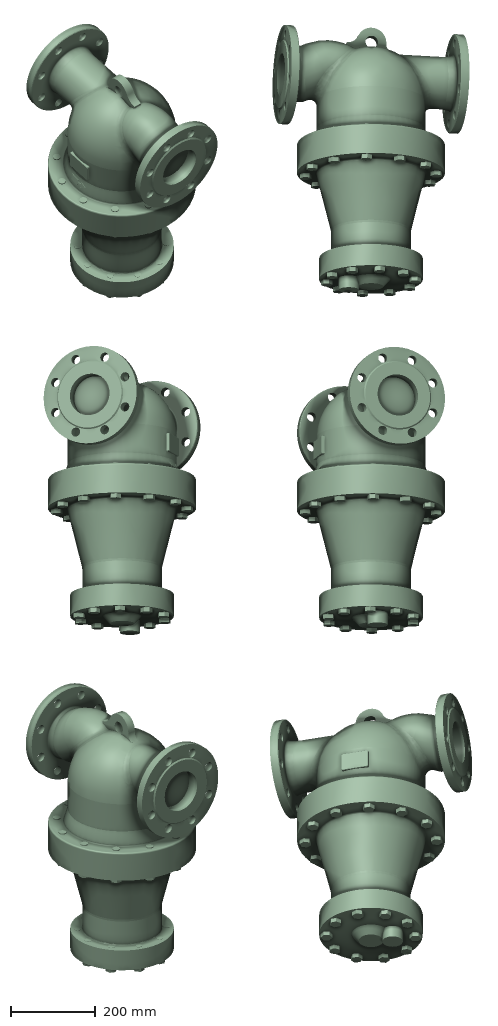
import cadquery as cq
import math

face_to_face = 434.0
line_flange_dia = 235.0
line_flange_thickness = 20.0
raised_face_height = 3.0
raised_face_dia = 160.0
line_bolt_hole_dia = 22.0
line_bolt_circle = 190.0
line_bolt_count = 8
bore_dia = 100.0
bore_depth = 30.0
pipe_radius = 62.0
neck_radius = 65.0
neck_length = 20.0
neck_fillet = 3.0
rim_chamfer = 1.5

body_radius = 128.5
dome_center_z = -53.0
body_bottom_z = -124.0
foot_radius = 138.0
foot_fillet = 4.0
inlet_blend = 20.0

elbow_radius = 63.0
elbow_bend_radius = 68.0
elbow_rise_angle = 45.0
elbow_fall_angle = 24.0
elbow_peak_x = 106.0
elbow_blend = 17.0

body_flange_dia = 350.0
body_flange_half = 36.0
body_joint_z = -195.0
body_rim_fillet = 4.0
body_bolt_circle = 310.0
body_bolt_count = 12
body_stud_dia = 18.0
body_stud_projection = 3.0
body_hex_turn = 15.0

cone_top_radius = 129.0
collar_height = 4.0
cone_bottom_z = -375.0
lower_neck_radius = 94.0
cone_blend = 22.0
cover_flange_dia = 245.0
cover_flange_half = 26.0
cover_joint_z = -466.0
cover_bolt_circle = 210.0
cover_bolt_count = 10
cover_stud_dia = 16.0
cover_stud_projection = 1.0
cover_neck_fillet = 3.0

hex_across_flats = 24.0
head_height = 10.0

boss_top_radius = 46.0
boss_bottom_radius = 29.0
boss_height = 17.5
port_dia = 48.0
port_x = 53.5

lug_radius = 35.0
lug_hole_dia = 30.0
lug_center_z = 89.0
lug_thickness = 20.0
lug_left_fillet = 20.0
lug_right_fillet = 30.0
lug_right_foot_z = 85.0

plate_width = 66.0
plate_height = 44.0
plate_center_z = -87.0
plate_face_y = -132.0
plate_edge = 2.0
arrow_length = 51.0
arrow_height = 14.0
arrow_center_z = -140.0
arrow_relief = 1.0

overall_height = 644.88

half_length = face_to_face / 2
flange_front_x = half_length - raised_face_height
flange_back_x = flange_front_x - line_flange_thickness
neck_start_x = flange_back_x - neck_length
body_flange_top_z = body_joint_z + body_flange_half
body_flange_bottom_z = body_joint_z - body_flange_half
cover_flange_top_z = cover_joint_z + cover_flange_half
cover_flange_bottom_z = cover_joint_z - cover_flange_half
port_bottom_z = lug_center_z + lug_radius - overall_height


def disc(radius, bottom_z, top_z):
    """Vertical cylinder on the body axis."""
    return cq.Workplane("XY").workplane(offset=bottom_z).circle(radius).extrude(top_z - bottom_z)


def make_upper_body(grow=0.0):
    """Dome, straight barrel and flared foot; grow thickens the wall outward."""
    barrel = body_radius + grow
    foot = foot_radius + grow
    half_section = (
        cq.Workplane("XZ")
        .moveTo(0, dome_center_z + barrel)
        .threePointArc(
            (barrel * math.sin(math.pi / 4), dome_center_z + barrel * math.cos(math.pi / 4)),
            (barrel, dome_center_z),
        )
        .lineTo(barrel, body_bottom_z)
        .lineTo(foot, body_flange_top_z + foot_fillet)
        .radiusArc((foot + foot_fillet, body_flange_top_z), -foot_fillet)
        .lineTo(0, body_flange_top_z)
        .close()
    )
    return half_section.revolve(360, (0, 0), (0, 1)).rotate((0, 0, 0), (0, 0, 1), 90)


def make_inlet_pipe():
    """Straight horizontal pipe from the body axis to the inlet neck."""
    return cq.Workplane("YZ").circle(pipe_radius).extrude(-neck_start_x)


def make_outlet_elbow():
    """Pipe that climbs from the dome centre, bends over and falls to a mitre at the outlet neck."""
    rise = math.radians(elbow_rise_angle)
    fall = math.radians(elbow_fall_angle)
    bend_start_x = elbow_peak_x - elbow_bend_radius * math.sin(rise)
    bend_start_z = dome_center_z + bend_start_x * math.tan(rise)
    bend_center_z = bend_start_z - elbow_bend_radius * math.cos(rise)
    bend_end_x = elbow_peak_x + elbow_bend_radius * math.sin(fall)
    bend_end_z = bend_center_z + elbow_bend_radius * math.cos(fall)
    mitre_x = bend_end_x + bend_end_z / math.tan(fall)
    path = (
        cq.Workplane("XZ")
        .moveTo(0, dome_center_z)
        .lineTo(bend_start_x, bend_start_z)
        .threePointArc((elbow_peak_x, bend_center_z + elbow_bend_radius), (bend_end_x, bend_end_z))
        .lineTo(mitre_x, 0)
        .lineTo(flange_back_x, 0)
    )
    start_plane = cq.Plane(
        origin=(0, 0, dome_center_z), xDir=(0, 1, 0), normal=(math.cos(rise), 0, math.sin(rise))
    )
    return cq.Workplane(start_plane).circle(elbow_radius).sweep(path, transition="right")


def blend_pipe(pipe, blend_radius):
    """Upper body joined to one pipe, with the curved seam between them filleted."""
    joined = make_upper_body().union(pipe)
    return joined.edges("%BSPLINE").fillet(blend_radius)


def make_line_flange(side):
    """Raised-face flange with its flared neck, on the side -1 (inlet) or +1 (outlet)."""
    rim = line_flange_dia / 2
    raised = raised_face_dia / 2
    half_section = (
        cq.Workplane("XY")
        .moveTo(side * neck_start_x, 0)
        .lineTo(side * neck_start_x, pipe_radius)
        .lineTo(side * (flange_back_x - neck_fillet), neck_radius)
        .radiusArc((side * flange_back_x, neck_radius + neck_fillet), -side * neck_fillet)
        .lineTo(side * flange_back_x, rim - rim_chamfer)
        .lineTo(side * (flange_back_x + rim_chamfer), rim)
        .lineTo(side * flange_front_x, rim)
        .lineTo(side * flange_front_x, raised + raised_face_height)
        .lineTo(side * half_length, raised)
        .lineTo(side * half_length, 0)
        .close()
    )
    flange = half_section.revolve(360, (0, 0), (1, 0))
    bolt_holes = (
        cq.Workplane("YZ")
        .workplane(offset=side * flange_back_x)
        .polarArray(line_bolt_circle / 2, 180 / line_bolt_count, 360, line_bolt_count)
        .circle(line_bolt_hole_dia / 2)
        .extrude(side * line_flange_thickness)
    )
    return flange.cut(bolt_holes)


def make_bore(side):
    """Blind bore into a line flange."""
    return (
        cq.Workplane("YZ")
        .workplane(offset=side * half_length)
        .circle(bore_dia / 2)
        .extrude(-side * bore_depth)
    )


def make_lug():
    """Lifting eye whose foot runs into the dome on the left and the elbow on the right."""
    left_x = -(lug_radius + lug_left_fillet)
    left_reach = body_radius + lug_left_fillet
    left_z = dome_center_z + math.sqrt(left_reach ** 2 - left_x ** 2)
    left_scale = body_radius / left_reach
    left_foot = (left_x * left_scale, dome_center_z + (left_z - dome_center_z) * left_scale)

    right_reach = lug_radius + lug_right_fillet
    right_rise = lug_right_foot_z + lug_right_fillet - lug_center_z
    right_x = math.sqrt(right_reach ** 2 - right_rise ** 2)
    right_scale = lug_radius / right_reach
    right_tangent = (right_x * right_scale, lug_center_z + right_rise * right_scale)

    outline = (
        cq.Workplane("XZ")
        .workplane(offset=-lug_thickness / 2)
        .moveTo(0, 0)
        .lineTo(*left_foot)
        .radiusArc((-lug_radius, left_z), -lug_left_fillet)
        .lineTo(-lug_radius, lug_center_z)
        .threePointArc((0, lug_center_z + lug_radius), right_tangent)
        .radiusArc((right_x, lug_right_foot_z), -lug_right_fillet)
        .lineTo(right_x, 0)
        .close()
    )
    eye = (
        cq.Workplane("XZ")
        .workplane(offset=-lug_thickness / 2)
        .center(0, lug_center_z)
        .circle(lug_hole_dia / 2)
        .extrude(lug_thickness)
    )
    return outline.extrude(lug_thickness).cut(eye)


def make_body_flange():
    """Bolted flange pair under the domed body."""
    flange = disc(body_flange_dia / 2, body_flange_bottom_z, body_flange_top_z)
    return flange.faces(">Z").edges().fillet(body_rim_fillet)


def make_lower_body():
    """Collar, tapering cone and straight neck between the two flange pairs."""
    cone_top_z = body_flange_bottom_z - collar_height
    half_section = (
        cq.Workplane("XZ")
        .moveTo(0, body_flange_bottom_z)
        .lineTo(cone_top_radius + collar_height, body_flange_bottom_z)
        .radiusArc((cone_top_radius, cone_top_z), -collar_height)
        .lineTo(lower_neck_radius, cone_bottom_z)
        .lineTo(lower_neck_radius, cover_flange_top_z + cover_neck_fillet)
        .radiusArc((lower_neck_radius + cover_neck_fillet, cover_flange_top_z), -cover_neck_fillet)
        .lineTo(0, cover_flange_top_z)
        .close()
    )
    body = half_section.revolve(360, (0, 0), (0, 1))
    cone_end = cq.selectors.NearestToPointSelector((0, 0, cone_bottom_z))
    return body.edges(cone_end).fillet(cone_blend)


def make_bolts(bolt_circle, count, first_angle, hex_turn, bottom_z, top_z, stud_dia):
    """Ring of hexagon bolts: heads below bottom_z, stud ends up to top_z."""
    across_corners = hex_across_flats / math.cos(math.pi / 6)
    bolt = (
        cq.Workplane("XY")
        .workplane(offset=bottom_z - head_height)
        .polygon(6, across_corners)
        .extrude(head_height)
        .union(disc(stud_dia / 2, bottom_z - head_height, top_z))
        .rotate((0, 0, 0), (0, 0, 1), hex_turn)
        .translate((bolt_circle / 2, 0, 0))
    )
    return [
        bolt.rotate((0, 0, 0), (0, 0, 1), first_angle + i * 360 / count)
        for i in range(count)
    ]


def make_drain():
    """Tapered boss and off-centre drain port under the cover."""
    boss = (
        cq.Workplane("XZ")
        .moveTo(0, cover_flange_bottom_z)
        .lineTo(boss_top_radius, cover_flange_bottom_z)
        .lineTo(boss_bottom_radius, cover_flange_bottom_z - boss_height)
        .lineTo(0, cover_flange_bottom_z - boss_height)
        .close()
        .revolve(360, (0, 0), (0, 1))
    )
    port = disc(port_dia / 2, port_bottom_z, cover_flange_bottom_z).translate((port_x, 0, 0))
    return boss.union(port)


def make_name_plate():
    """Rectangular pad with a bevelled face."""
    return (
        cq.Workplane("XZ")
        .center(0, plate_center_z)
        .rect(plate_width, plate_height)
        .extrude(-plate_face_y)
        .edges("|Y")
        .chamfer(plate_edge)
        .faces("<Y")
        .chamfer(plate_edge / 2)
    )


def make_arrow():
    """Flow arrow raised slightly above the flared foot, pointing toward the outlet."""
    tail_x = -arrow_length / 2
    tip_x = arrow_length / 2
    half = arrow_height / 2
    shaft_half = half / 3
    notch = half / 2
    tail_end_x = 0.0
    head_x = tip_x - 2 * half
    outline = [
        (tail_x, half),
        (tail_end_x, half),
        (tail_end_x, shaft_half),
        (head_x, shaft_half),
        (head_x, half),
        (tip_x, 0),
    ]
    mirrored = [(x, -z) for x, z in reversed(outline[:-1])]
    blank = (
        cq.Workplane("XZ")
        .center(0, arrow_center_z)
        .polyline(outline + mirrored + [(tail_x + notch, 0)])
        .close()
        .extrude(body_flange_dia / 2)
    )
    return blank.intersect(make_upper_body(arrow_relief))


inlet_side = blend_pipe(make_inlet_pipe(), inlet_blend)
outlet_side = blend_pipe(make_outlet_elbow(), elbow_blend)
result = inlet_side.union(outlet_side)
for side in (-1, 1):
    result = result.union(make_line_flange(side))
result = result.union(make_body_flange()).union(make_lower_body())
result = result.union(disc(cover_flange_dia / 2, cover_flange_bottom_z, cover_flange_top_z))
result = result.union(make_drain()).union(make_lug())
result = result.union(make_name_plate()).union(make_arrow())
for side in (-1, 1):
    result = result.cut(make_bore(side))

bolts = make_bolts(
    body_bolt_circle,
    body_bolt_count,
    180 / body_bolt_count,
    body_hex_turn,
    body_flange_bottom_z,
    body_flange_top_z + body_stud_projection,
    body_stud_dia,
) + make_bolts(
    cover_bolt_circle,
    cover_bolt_count,
    180 / cover_bolt_count,
    0,
    cover_flange_bottom_z,
    cover_flange_top_z + cover_stud_projection,
    cover_stud_dia,
)
for bolt in bolts:
    result = result.union(bolt)